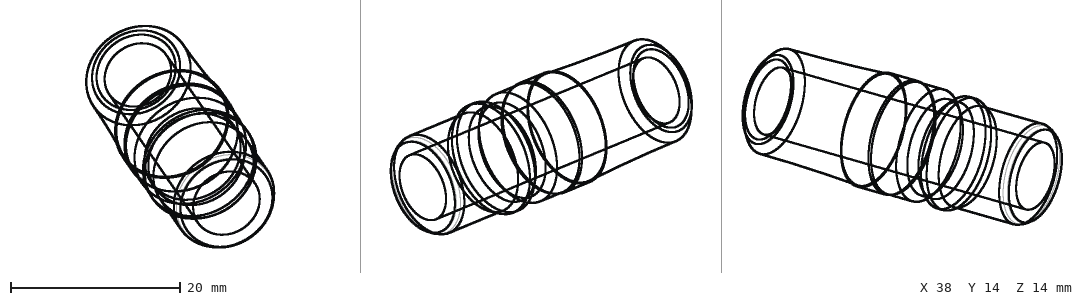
import cadquery as cq

length = 38.0

bore_d = 8.2
mouth_d = 9.75
face_d = 10.85
nose_d = 12.9
sleeve_end_d = 13.68
collar_d = 14.0
body_d = 13.75
groove_d = 11.85
tail_d = 12.4
tail_break_d = 12.05
tail_lip_d = 11.48
tail_face_d = 11.32

nose_chamfer_end = 0.95
collar_start = 15.0
collar_end = 18.92
body_start = 19.23
groove_start = 22.8
groove_depth = (body_d - groove_d) / 2
groove_floor_start = groove_start + groove_depth
groove_floor_end = 25.3
rib_start = 26.35
rib_end = 27.15
tail_start = 28.4
tail_chamfer_start = 36.97
tail_break = 37.43
tail_lip = 37.85
mouth_depth = 0.75


def outer_body():
    """Solid of revolution bounded by the outside contour."""
    sleeve = cq.Edge.makeTangentArc(
        cq.Vector(nose_chamfer_end, nose_d / 2),
        cq.Vector(1, 0, 0),
        cq.Vector(collar_start, sleeve_end_d / 2),
    )
    sleeve_middle = sleeve.positionAt(0.5).toTuple()[:2]
    contour_after_sleeve = [
        (collar_start, collar_d),
        (collar_end, collar_d),
        (body_start, body_d),
        (groove_start, body_d),
        (groove_floor_start, groove_d),
        (groove_floor_end, groove_d),
        (rib_start, body_d),
        (rib_end, body_d),
        (tail_start, tail_d),
        (tail_chamfer_start, tail_d),
        (tail_break, tail_break_d),
        (tail_lip, tail_lip_d),
        (length, tail_face_d),
    ]
    profile = (
        cq.Workplane("XY")
        .lineTo(0, face_d / 2)
        .lineTo(nose_chamfer_end, nose_d / 2)
        .threePointArc(sleeve_middle, (collar_start, sleeve_end_d / 2))
    )
    for x, diameter in contour_after_sleeve:
        profile = profile.lineTo(x, diameter / 2)
    return profile.lineTo(length, 0).close().revolve(360, (0, 0, 0), (1, 0, 0))


def through_bore():
    """Cutter for the straight bore with a countersunk mouth at the nose."""
    return (
        cq.Workplane("XY")
        .lineTo(0, mouth_d / 2)
        .lineTo(mouth_depth, bore_d / 2)
        .lineTo(length, bore_d / 2)
        .lineTo(length, 0)
        .close()
        .revolve(360, (0, 0, 0), (1, 0, 0))
    )


result = outer_body().cut(through_bore())